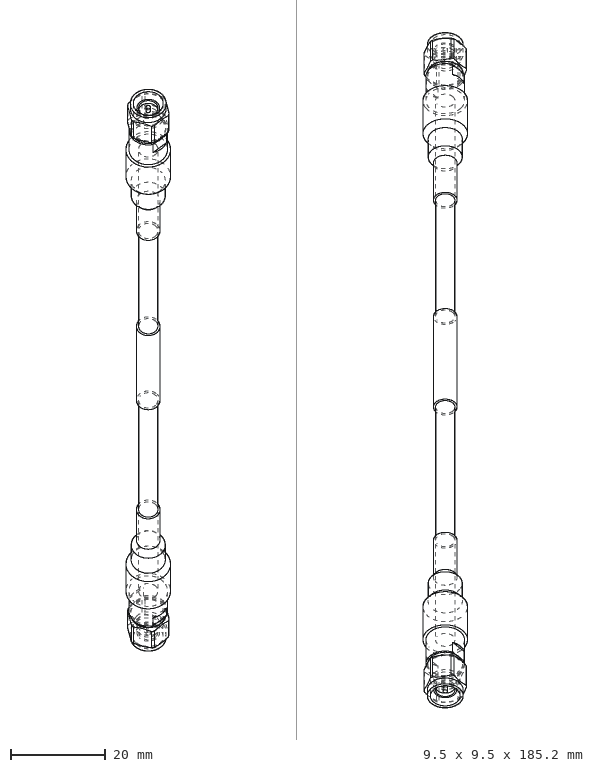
import cadquery as cq
import math

TOTAL_LENGTH = 185.2
HALF_LENGTH = TOTAL_LENGTH / 2

RIM_LENGTH = 1.7
NUT_END = 8.2
NECK_END = 9.0
WRENCH_FLAT_END = 11.9
CONNECTOR_END = 16.0
SLEEVE_END = 25.4
SHOULDER_END = 26.9
FERRULE_END = 32.0
TAPER_END = 33.7
BOOT_END = 44.3

RIM_RADIUS = 7.6 / 2
NUT_SIDES = 6
NUT_TURN_ANGLE = 90.0
NUT_ACROSS_FLATS = 8.2
NUT_CHAMFER_ANGLE = 30.0
NUT_CORNER_RADIUS = 9.0 / 2
NECK_RADIUS = 7.5 / 2
BODY_RADIUS = 8.2 / 2
WRENCH_FLAT_SPACING = 7.2

SOCKET_RADIUS = 6.3 / 2
SOCKET_DEPTH = 4.6
INSERT_RADIUS = 4.8 / 2
INSERT_BORE_RADIUS = 4.0 / 2
INSERT_TOP_DEPTH = 1.7
INSERT_BORE_DEPTH = 2.6
PIN_RADIUS = 1.0 / 2
PIN_TOP_DEPTH = 1.3

SLEEVE_RADIUS = 9.5 / 2
FERRULE_RADIUS = 7.2 / 2
BOOT_TAIL_RADIUS = 5.0 / 2

CABLE_RADIUS = 4.0 / 2
BAND_RADIUS = 5.0 / 2
BAND_LENGTH = 25.7
BAND_CENTER_Z = 2.5


def disc(radius, start, end):
    """Cylinder on the Z axis whose ends lie at two depths below the tip at Z = 0."""
    return cq.Workplane("XY").workplane(offset=-end).circle(radius).extrude(end - start)


def hex_nut():
    """Hexagon with corners on the Y axis, both ends chamfered by a cone down to the rim radius."""
    corner_diameter = NUT_ACROSS_FLATS / math.cos(math.pi / NUT_SIDES)
    hexagon = (
        cq.Workplane("XY")
        .workplane(offset=-NUT_END)
        .polygon(NUT_SIDES, corner_diameter)
        .extrude(NUT_END - RIM_LENGTH)
        .rotate((0, 0, 0), (0, 0, 1), NUT_TURN_ANGLE)
    )
    chamfer_height = (NUT_CORNER_RADIUS - RIM_RADIUS) * math.tan(math.radians(NUT_CHAMFER_ANGLE))
    envelope = (
        cq.Workplane("XZ")
        .moveTo(0, -RIM_LENGTH)
        .lineTo(RIM_RADIUS, -RIM_LENGTH)
        .lineTo(NUT_CORNER_RADIUS, -RIM_LENGTH - chamfer_height)
        .lineTo(NUT_CORNER_RADIUS, -NUT_END + chamfer_height)
        .lineTo(RIM_RADIUS, -NUT_END)
        .lineTo(0, -NUT_END)
        .close()
        .revolve(360, (0, 0, 0), (0, 1, 0))
    )
    return hexagon.intersect(envelope)


def wrench_body():
    """Round body with two wrench flats facing -X and +X beside the neck."""
    body = disc(BODY_RADIUS, NECK_END, CONNECTOR_END)
    flat_zone = disc(BODY_RADIUS, NECK_END, WRENCH_FLAT_END)
    between_flats = (
        cq.Workplane("XY")
        .workplane(offset=-WRENCH_FLAT_END)
        .rect(WRENCH_FLAT_SPACING, 2 * BODY_RADIUS)
        .extrude(WRENCH_FLAT_END - NECK_END)
    )
    return body.cut(flat_zone.cut(between_flats))


def make_connector():
    """Plug connector with its tip at Z = 0 and its back face pointing down."""
    outside = (
        disc(RIM_RADIUS, 0, RIM_LENGTH)
        .union(hex_nut())
        .union(disc(NECK_RADIUS, NUT_END, NECK_END))
        .union(wrench_body())
    )
    insert = disc(INSERT_RADIUS, INSERT_TOP_DEPTH, SOCKET_DEPTH)
    insert = insert.cut(disc(INSERT_BORE_RADIUS, INSERT_TOP_DEPTH, INSERT_BORE_DEPTH))
    pin = disc(PIN_RADIUS, PIN_TOP_DEPTH, SOCKET_DEPTH)
    shell = outside.cut(disc(SOCKET_RADIUS, 0, SOCKET_DEPTH))
    return shell.union(insert).union(pin)


def make_boot():
    """Stepped boot behind the connector, bored through for the cable."""
    return (
        cq.Workplane("XZ")
        .moveTo(CABLE_RADIUS, -CONNECTOR_END)
        .lineTo(SLEEVE_RADIUS, -CONNECTOR_END)
        .lineTo(SLEEVE_RADIUS, -SLEEVE_END)
        .lineTo(FERRULE_RADIUS, -SHOULDER_END)
        .lineTo(FERRULE_RADIUS, -FERRULE_END)
        .lineTo(BOOT_TAIL_RADIUS, -TAPER_END)
        .lineTo(BOOT_TAIL_RADIUS, -BOOT_END)
        .lineTo(CABLE_RADIUS, -BOOT_END)
        .close()
        .revolve(360, (0, 0, 0), (0, 1, 0))
    )


def make_cable():
    """Cable between the back faces of the connectors, with a marker band off its middle."""
    cable_length = TOTAL_LENGTH - 2 * CONNECTOR_END
    band_bottom = BAND_CENTER_Z - BAND_LENGTH / 2
    core = disc(CABLE_RADIUS, -cable_length / 2, cable_length / 2)
    marker_band = (
        cq.Workplane("XY")
        .workplane(offset=band_bottom)
        .circle(BAND_RADIUS)
        .extrude(BAND_LENGTH)
    )
    return core.union(marker_band)


connectors = []
boots = []
for flip_angle in (0, 180):
    for make_body, bodies in ((make_connector, connectors), (make_boot, boots)):
        top_body = make_body().translate((0, 0, HALF_LENGTH))
        placed_body = top_body.rotate((0, 0, 0), (1, 0, 0), flip_angle)
        bodies.append(placed_body.val())

cable = make_cable()

result = cq.Compound.makeCompound([cable.val(), *connectors, *boots])